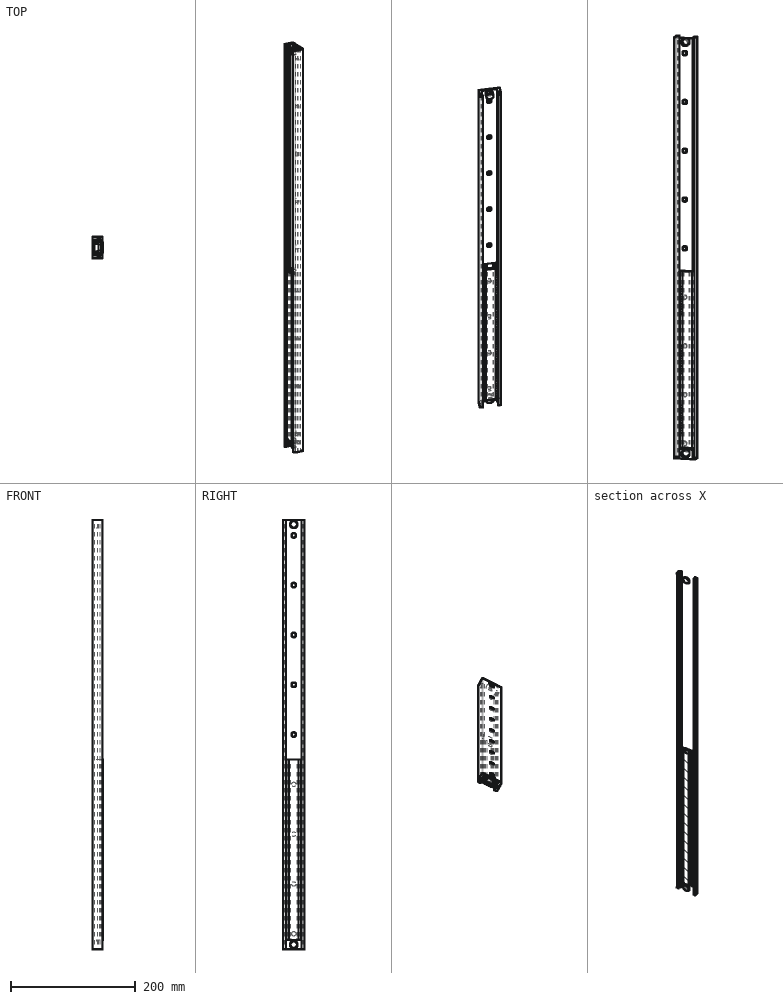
import cadquery as cq

RAIL_LENGTH = 690.0
RAIL_WIDTH = 35.0
RAIL_DEPTH = 16.5
TOTAL_DEPTH = 17.0

WEB_THICKNESS = 3.0
FLANGE_THICKNESS = 5.0
GROOVE_CENTRE_X = 10.0
GROOVE_RADIUS = 2.0
CAVITY_WIDTH = RAIL_WIDTH - 2 * FLANGE_THICKNESS
BACK_CORNER_RADIUS = 1.3
FRONT_CORNER_RADIUS = 2.0

MOUNT_HOLE_DIAMETER = 7.0
MOUNT_HOLE_PITCH = 80.0
MOUNT_HOLE_END_MARGIN = 25.0
MOUNT_HOLE_COUNT = round((RAIL_LENGTH - 2 * MOUNT_HOLE_END_MARGIN) / MOUNT_HOLE_PITCH) + 1

STUD_DIAMETER = 10.0
BUFFER_DIAMETER = 12.0
BUFFER_FRONT_X = 10.0
STOP_END_MARGIN = 7.5
STOP_HEIGHTS = [STOP_END_MARGIN, RAIL_LENGTH - STOP_END_MARGIN]

SLIDER_BOTTOM = 15.0
SLIDER_LENGTH = 290.0
RUNNING_CLEARANCE = 0.5
SLIDING_WIDTH = CAVITY_WIDTH - 2 * RUNNING_CLEARANCE
HEAD_FRONT_X = 8.0
NECK_WIDTH = 10.0
CARRIAGE_BACK_X = 14.0
CARRIAGE_SHOULDER_X = 16.0
CARRIAGE_FACE_WIDTH = 16.0
LEG_BACK_X = 11.0
LEG_SPACING = 18.0


def make_rail():
    """C-shaped rail with a round groove along the inside of each flange."""
    body = cq.Workplane("XY").box(RAIL_DEPTH, RAIL_WIDTH, RAIL_LENGTH, centered=(False, True, False))
    body = body.edges("|Z and <X").fillet(BACK_CORNER_RADIUS)
    body = body.edges("|Z and >X").fillet(FRONT_CORNER_RADIUS)

    cavity = cq.Workplane("XY").box(RAIL_DEPTH, CAVITY_WIDTH, RAIL_LENGTH, centered=(False, True, False))
    body = body.cut(cavity.translate((WEB_THICKNESS, 0, 0)))
    for side in (-1, 1):
        groove = (
            cq.Workplane("XY")
            .center(GROOVE_CENTRE_X, side * CAVITY_WIDTH / 2)
            .circle(GROOVE_RADIUS)
            .extrude(RAIL_LENGTH)
        )
        body = body.cut(groove)

    mount_heights = [MOUNT_HOLE_END_MARGIN + i * MOUNT_HOLE_PITCH for i in range(MOUNT_HOLE_COUNT)]
    body = body.cut(web_cylinders(mount_heights, MOUNT_HOLE_DIAMETER))
    return body.cut(web_cylinders(STOP_HEIGHTS, STUD_DIAMETER))


def web_cylinders(heights, diameter):
    """Cylinders along X that span the rail web at the given heights."""
    centres = [(0, z) for z in heights]
    return cq.Workplane("YZ").pushPoints(centres).circle(diameter / 2).extrude(WEB_THICKNESS)


def make_stop(height):
    """Buffer against the web, with its stud flush with the mounting face."""
    stud = web_cylinders([height], STUD_DIAMETER)
    buffer = (
        cq.Workplane("YZ", origin=(WEB_THICKNESS, 0, height))
        .circle(BUFFER_DIAMETER / 2)
        .extrude(BUFFER_FRONT_X - WEB_THICKNESS)
    )
    return stud.union(buffer)


def slider_block(back_x, front_x, width):
    """Straight bar over the slider length, centred on the rail."""
    return (
        cq.Workplane("XY", origin=(back_x, 0, SLIDER_BOTTOM))
        .box(front_x - back_x, width, SLIDER_LENGTH, centered=(False, True, False))
    )


def make_slider():
    """T-shaped slider: a wide head along the rail web and a neck towards the mouth."""
    head = slider_block(WEB_THICKNESS + RUNNING_CLEARANCE, HEAD_FRONT_X, SLIDING_WIDTH)
    neck = slider_block(HEAD_FRONT_X, CARRIAGE_BACK_X, NECK_WIDTH)
    return head.union(neck)


def make_carriage():
    """Channel on the slider neck: two legs point back and a raised face stands out of the mouth."""
    channel = slider_block(LEG_BACK_X, CARRIAGE_SHOULDER_X, SLIDING_WIDTH)
    channel = channel.cut(slider_block(LEG_BACK_X, CARRIAGE_BACK_X, LEG_SPACING))
    return channel.union(slider_block(CARRIAGE_SHOULDER_X, TOTAL_DEPTH, CARRIAGE_FACE_WIDTH))


rail = make_rail()
stops = [make_stop(height) for height in STOP_HEIGHTS]
slider = make_slider()
carriage = make_carriage()

result = cq.Compound.makeCompound(
    [rail.val(), *[stop.val() for stop in stops], slider.val(), carriage.val()]
)